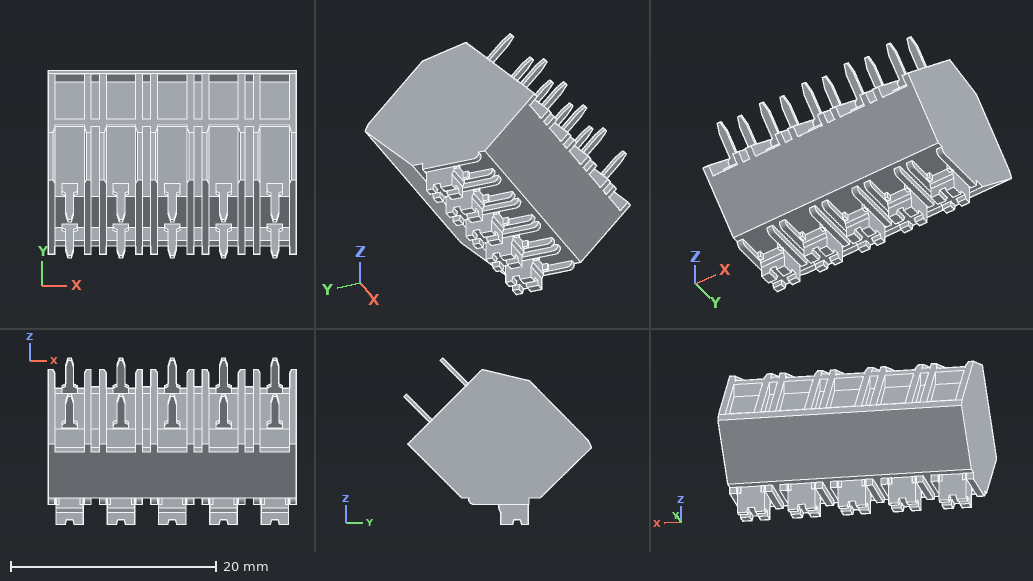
import cadquery as cq
import math


pole_count = 5
pitch = 5.0
pole_width = 4.2
total_width = (pole_count - 1) * pitch + pole_width
pole_gap = pitch - pole_width
rib_thickness = 0.67
bay_width = pole_width - 2 * rib_thickness

underside_z = 0.64
nose_z = 5.56
nose_bevel_depth, nose_bevel_z = 0.32, 6.25
rear_crest_depth, rear_crest_z = 6.07, 12.08
front_crest_depth, front_crest_z = 10.68, 13.18
front_tip_depth, front_tip_z = 17.93, 5.90
underside_rear_depth = 5.02
underside_front_depth = front_tip_depth - (front_tip_z - underside_z)

lip_outer_drop = 0.79
lip_run, lip_rise = 0.54, 0.47
trough_drop = 1.3
back_wall_depth, back_wall_top_z = 15.3, 7.37
ledge_front_depth, ledge_rear_depth, ledge_z = 12.3, 5.5, 10.83
ledge_step_lean = 0.16
clearance = 3.0

window_start_depth, window_end_depth = 0.36, 4.75
window_wall = 0.8
window_floor_angle = 48.0

crest_bevel_width = 0.2
crest_bevel_height = 0.43

foot_rear_depth, foot_front_depth = 6.09, 12.0
foot_radius = 0.55
pad_width = 0.28
pad_clearance = 0.13
pad_front_depth = 9.6

tail_width = 2.7
tail_rear_depth, tail_front_depth = 6.17, 9.07
tail_step_depth = 8.88
tail_step_top_z, tail_step_bottom_z = -0.34, -0.78
tail_bottom_z = -1.96
notch_base, notch_top, notch_height = 0.86, 0.63, 0.46
side_notch_depth = 7.27

pin_tip_depth, pin_tip_z = 14.65, 14.18
pin_spacing = 5.0
pin_thickness = 0.36
pin_width = 0.8
pin_tip_width = 0.32
pin_shoulder_width = 1.5
pin_taper_length = 1.05
pin_shoulder_rise = 0.25
pin_shoulder_from_tip = 3.85
pin_length = 5.6


def prism(points, x_start, width):
    """Extrude a (depth, height) outline along X."""
    outline = [(-depth, z) for depth, z in points]
    return cq.Workplane("YZ", origin=(x_start, 0, 0)).polyline(outline).close().extrude(width)


def rear_slope_z(depth):
    slope = (rear_crest_z - nose_bevel_z) / (rear_crest_depth - nose_bevel_depth)
    return nose_bevel_z + slope * (depth - nose_bevel_depth)


def housing_block():
    return prism(
        [
            (0, nose_z),
            (nose_bevel_depth, nose_bevel_z),
            (rear_crest_depth, rear_crest_z),
            (front_crest_depth, front_crest_z),
            (front_tip_depth, front_tip_z),
            (underside_front_depth, underside_z),
            (underside_rear_depth, underside_z),
        ],
        -total_width / 2,
        total_width,
    )


def front_recess(x_start, width, step_lean):
    """Space above the stepped floor; the rear step leans back by step_lean."""
    lip_outer = (front_tip_depth - lip_outer_drop, front_tip_z - lip_outer_drop)
    lip_inner = (lip_outer[0] - lip_run, lip_outer[1] + lip_rise)
    trough = (back_wall_depth, lip_inner[1] - trough_drop)
    step_top_depth = ledge_rear_depth - step_lean
    step_top = (step_top_depth, rear_slope_z(step_top_depth))
    roof_z = front_crest_z + clearance
    return prism(
        [
            step_top,
            (ledge_rear_depth, ledge_z),
            (ledge_front_depth, ledge_z),
            (back_wall_depth, back_wall_top_z),
            trough,
            lip_inner,
            lip_outer,
            (lip_outer[0] + clearance, lip_outer[1] + clearance),
            (lip_outer[0] + clearance, roof_z),
            (step_top_depth - clearance, roof_z),
            (step_top_depth - clearance, rear_slope_z(step_top_depth - clearance)),
        ],
        x_start,
        width,
    )


def rear_window(x_start, width):
    start_z = rear_slope_z(window_start_depth)
    floor_start = (window_start_depth + window_wall, start_z - window_wall)
    floor_run = window_end_depth - floor_start[0]
    floor_end_z = floor_start[1] + floor_run * math.tan(math.radians(window_floor_angle))
    return prism(
        [
            (window_start_depth, start_z),
            floor_start,
            (window_end_depth, floor_end_z),
            (window_end_depth, rear_slope_z(window_end_depth)),
            (window_end_depth - clearance, rear_slope_z(window_end_depth)),
            (window_start_depth - clearance, start_z),
        ],
        x_start,
        width,
    )


def crest_bevel(x_face, side):
    """Wedge along the crest of a rib; side points from the bay into the rib."""
    slope = (front_crest_z - rear_crest_z) / (front_crest_depth - rear_crest_depth)

    def section(depth):
        crest_z = rear_crest_z + slope * (depth - rear_crest_depth)
        wedge = [
            (x_face, crest_z - crest_bevel_height),
            (x_face + side * crest_bevel_width, crest_z),
            (x_face, crest_z + crest_bevel_height),
        ]
        return cq.Wire.makePolygon([cq.Vector(x, -depth, z) for x, z in wedge], close=True)

    ends = [section(rear_crest_depth - clearance), section(front_crest_depth + clearance)]
    return cq.Workplane(obj=cq.Solid.makeLoft(ends, True))


def underside_block(x_start, width, front_depth):
    """Rectangular block between the underside of the housing and Z = 0."""
    return prism(
        [
            (foot_rear_depth, 0),
            (front_depth, 0),
            (front_depth, underside_z),
            (foot_rear_depth, underside_z),
        ],
        x_start,
        width,
    )


def foot(x_start):
    block = underside_block(x_start, rib_thickness, foot_front_depth)
    return block.edges("|X").edges("<Y").edges("<Z").fillet(foot_radius)


def foot_pad(x_start):
    return underside_block(x_start, pad_width, pad_front_depth)


def notch_outline(center):
    top_z = tail_bottom_z + notch_height
    return [
        (center - notch_base / 2, tail_bottom_z),
        (center - notch_top / 2, top_z),
        (center + notch_top / 2, top_z),
        (center + notch_base / 2, tail_bottom_z),
    ]


def tail(x_center):
    x_start = x_center - tail_width / 2
    post = prism(
        [
            (tail_rear_depth, underside_z),
            (tail_rear_depth, tail_bottom_z),
            (tail_step_depth, tail_bottom_z),
            (tail_step_depth, tail_step_bottom_z),
            (tail_front_depth, tail_step_top_z),
            (tail_front_depth, underside_z),
        ],
        x_start,
        tail_width,
    )
    cross_notch = prism(notch_outline(side_notch_depth), x_start, tail_width)
    long_notch = (
        cq.Workplane("XZ").polyline(notch_outline(x_center)).close().extrude(tail_front_depth)
    )
    return post.cut(cross_notch).cut(long_notch)


def pin(x_center, tip_depth, tip_z):
    """Flat shouldered pin pointing forwards and upwards at 45 degrees."""
    right_side = [
        (pin_tip_width / 2, 0),
        (pin_width / 2, pin_taper_length),
        (pin_width / 2, pin_shoulder_from_tip - pin_shoulder_rise),
        (pin_shoulder_width / 2, pin_shoulder_from_tip),
        (pin_shoulder_width / 2, pin_length),
    ]
    left_side = [(-x, along) for x, along in reversed(right_side)]
    plane = cq.Plane(origin=(x_center, -tip_depth, tip_z), xDir=(1, 0, 0), normal=(0, 1, 1))
    return (
        cq.Workplane(plane)
        .polyline(right_side + left_side)
        .close()
        .extrude(pin_thickness / 2, both=True)
    )


def build():
    pole_starts = [-total_width / 2 + index * pitch for index in range(pole_count)]
    part = housing_block()

    for x_pole in pole_starts:
        x_bay = x_pole + rib_thickness
        part = part.cut(front_recess(x_bay, bay_width, ledge_step_lean))
        part = part.cut(rear_window(x_bay, bay_width))
        part = part.cut(crest_bevel(x_bay, -1))
        part = part.cut(crest_bevel(x_bay + bay_width, 1))

    for x_pole in pole_starts[:-1]:
        x_gap = x_pole + pole_width
        part = part.cut(front_recess(x_gap, pole_gap, 0))
        part = part.cut(rear_window(x_gap, pole_gap))

    pin_step = pin_spacing / math.sqrt(2)
    for x_pole in pole_starts:
        x_bay = x_pole + rib_thickness
        x_center = x_pole + pole_width / 2
        part = part.union(foot(x_pole)).union(foot(x_bay + bay_width))
        part = part.union(foot_pad(x_bay + pad_clearance))
        part = part.union(foot_pad(x_bay + bay_width - pad_clearance - pad_width))
        part = part.union(tail(x_center))
        part = part.union(pin(x_center, pin_tip_depth, pin_tip_z))
        part = part.union(pin(x_center, pin_tip_depth + pin_step, pin_tip_z - pin_step))
    return part


result = build()